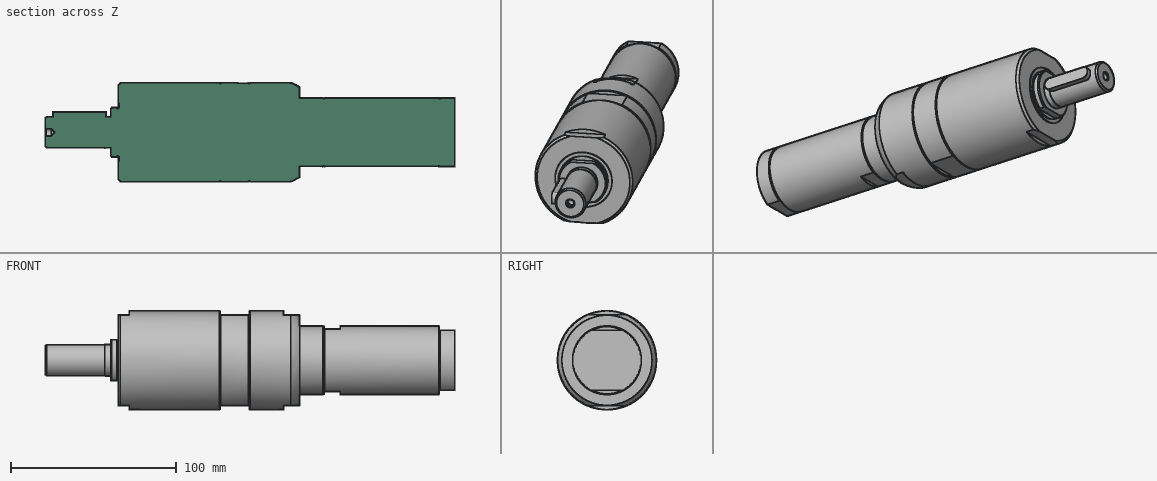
import cadquery as cq
import math

length = 247.5

shaft_diameter = 18.8
shaft_seat_diameter = 19.0
shaft_seat_start = 36.0
shaft_chamfer = 1.0

collar_start = 39.5
collar_diameter = 30.0
collar_across_flats = 24.8
collar_chamfer = 0.7

face_groove_diameter = 35.0
face_groove_depth = 0.5

housing_start = 44.0
housing_diameter = 60.0
housing_front_chamfer = 1.5
housing_crown_start = 148.5
housing_end = 153.7
housing_end_diameter = 54.5
crown_bulge = 0.2
housing_across_flats = 54.7
housing_front_flat_end = 50.7
housing_middle_flat_start = 106.0
housing_middle_flat_end = 123.3
housing_rear_flat_start = 144.0

motor_diameter = 41.5
motor_front_flat_start = 168.5
motor_front_flat_end = 178.2
motor_front_across_flats = 37.9
motor_rear_flat_start = 238.0
motor_rear_across_flats = 36.5

joint_groove_depth = 0.5
housing_joints = (105.7, 123.3)
motor_joints = (168.3, 238.0)

key_start = 4.7
key_end = 37.0
key_width = 7.5
key_top = 12.4

countersink_diameter = 5.5
bore_diameter = 4.2
bore_end = 3.7
cone_half_angle = 45.0


def cylinder(start, end, diameter):
    """Solid cylinder along X between two stations."""
    return cq.Workplane("YZ", origin=(start, 0, 0)).circle(diameter / 2).extrude(end - start)


def cut_flats(body, start, end, across_flats):
    """Remove the material above and below a pair of flats facing +Z and -Z."""
    slab_height = housing_diameter
    for side in (1, -1):
        slab = cq.Workplane("XY").box(end - start, 2 * housing_diameter, slab_height)
        slab_centre_z = side * (across_flats + slab_height) / 2
        body = body.cut(slab.translate(((start + end) / 2, 0, slab_centre_z)))
    return body


def cut_joint_groove(body, station, diameter):
    """Turn a shallow V-groove into a cylindrical body."""
    radius = diameter / 2
    groove = (
        cq.Workplane("XY")
        .moveTo(station - joint_groove_depth, radius)
        .lineTo(station, radius - joint_groove_depth)
        .lineTo(station + joint_groove_depth, radius)
        .close()
        .revolve(360, (0, 0, 0), (1, 0, 0))
    )
    return body.cut(groove)


def make_centre_hole():
    """Solid to be removed from the shaft end."""
    cone_slope = math.tan(math.radians(cone_half_angle))
    bore_radius = bore_diameter / 2
    countersink_radius = countersink_diameter / 2
    countersink_depth = (countersink_radius - bore_radius) / cone_slope
    cone_tip = bore_end + bore_radius / cone_slope
    return (
        cq.Workplane("XY")
        .lineTo(0, countersink_radius)
        .lineTo(countersink_depth, bore_radius)
        .lineTo(bore_end, bore_radius)
        .lineTo(cone_tip, 0)
        .close()
        .revolve(360, (0, 0, 0), (1, 0, 0))
    )


def make_shaft():
    shaft = cylinder(0, collar_start, shaft_diameter).faces("<X").chamfer(shaft_chamfer)
    seat = cylinder(shaft_seat_start, collar_start, shaft_seat_diameter)
    return shaft.union(seat)


def make_key():
    key_length = key_end - key_start
    return (
        cq.Workplane("XZ", origin=((key_start + key_end) / 2, 0, 0))
        .slot2D(key_length, key_width)
        .extrude(-key_top)
    )


def make_collar():
    collar = cylinder(collar_start, housing_start, collar_diameter)
    collar = collar.faces("<X or >X").edges().chamfer(collar_chamfer)
    return cut_flats(collar, collar_start, housing_start, collar_across_flats)


def make_crown():
    """Slightly bulging taper that closes the rear of the housing."""
    front_radius = housing_diameter / 2
    rear_radius = housing_end_diameter / 2
    middle = ((housing_crown_start + housing_end) / 2, (front_radius + rear_radius) / 2 + crown_bulge)
    return (
        cq.Workplane("XY")
        .moveTo(housing_crown_start, 0)
        .lineTo(housing_crown_start, front_radius)
        .threePointArc(middle, (housing_end, rear_radius))
        .lineTo(housing_end, 0)
        .close()
        .revolve(360, (0, 0, 0), (1, 0, 0))
    )


def make_housing():
    housing = cylinder(housing_start, housing_crown_start, housing_diameter)
    housing = housing.faces("<X").chamfer(housing_front_chamfer)
    housing = housing.union(make_crown())
    for station in housing_joints:
        housing = cut_joint_groove(housing, station, housing_diameter)
    flat_spans = (
        (housing_start, housing_front_flat_end),
        (housing_middle_flat_start, housing_middle_flat_end),
        (housing_rear_flat_start, housing_end),
    )
    for start, end in flat_spans:
        housing = cut_flats(housing, start, end, housing_across_flats)
    groove_end = housing_start + face_groove_depth
    face_groove = cylinder(housing_start, groove_end, face_groove_diameter)
    face_groove = face_groove.cut(cylinder(housing_start, groove_end, collar_diameter))
    return housing.cut(face_groove)


def make_motor():
    motor = cylinder(housing_end, length, motor_diameter)
    for station in motor_joints:
        motor = cut_joint_groove(motor, station, motor_diameter)
    motor = cut_flats(motor, motor_front_flat_start, motor_front_flat_end, motor_front_across_flats)
    return cut_flats(motor, motor_rear_flat_start, length, motor_rear_across_flats)


shaft_with_key = make_shaft().union(make_key()).cut(make_centre_hole())
result = shaft_with_key.union(make_collar()).union(make_housing()).union(make_motor())